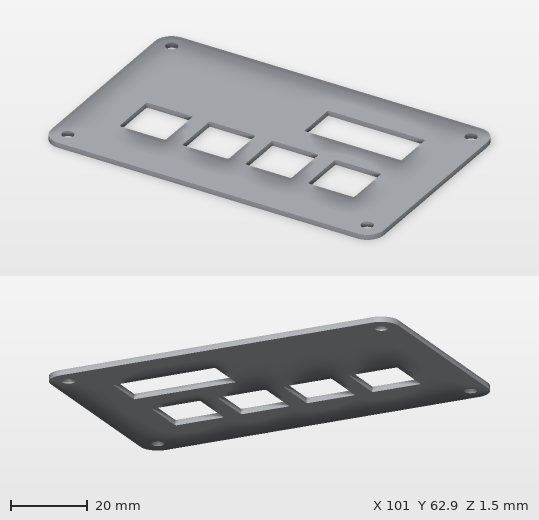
import cadquery as cq

plate_length = 101.0
plate_width = 62.9
plate_thickness = 1.5
corner_radius = 5.0

mount_hole_diameter = 3.4
mount_spacing_x = plate_length - 2 * corner_radius
mount_spacing_y = plate_width - 2 * corner_radius

switch_count = 4
switch_size = 14.0
switch_corner_radius = 0.5
switch_pitch = 19.1
switch_row_x = -0.5
switch_row_y = -8.9

window_length = 29.5
window_width = 12.1
window_x = 21.3
window_y = 12.7


def make_plate():
    """Flat plate with rounded corners, resting on Z = 0."""
    plate = cq.Workplane("XY").box(
        plate_length, plate_width, plate_thickness, centered=(True, True, False)
    )
    return plate.edges("|Z").fillet(corner_radius)


def make_mount_holes():
    """One through-hole cutter at each corner."""
    return (
        cq.Workplane("XY")
        .rect(mount_spacing_x, mount_spacing_y, forConstruction=True)
        .vertices()
        .circle(mount_hole_diameter / 2)
        .extrude(plate_thickness)
    )


def make_switch_cutouts():
    """Evenly pitched row of square cutters with slightly rounded corners."""
    return (
        cq.Workplane("XY")
        .center(switch_row_x, switch_row_y)
        .rarray(switch_pitch, switch_pitch, switch_count, 1)
        .rect(switch_size, switch_size)
        .extrude(plate_thickness)
        .edges("|Z")
        .fillet(switch_corner_radius)
    )


def make_window():
    """Sharp-cornered cutter for the display window."""
    return (
        cq.Workplane("XY")
        .center(window_x, window_y)
        .rect(window_length, window_width)
        .extrude(plate_thickness)
    )


result = (
    make_plate()
    .cut(make_mount_holes())
    .cut(make_switch_cutouts())
    .cut(make_window())
)